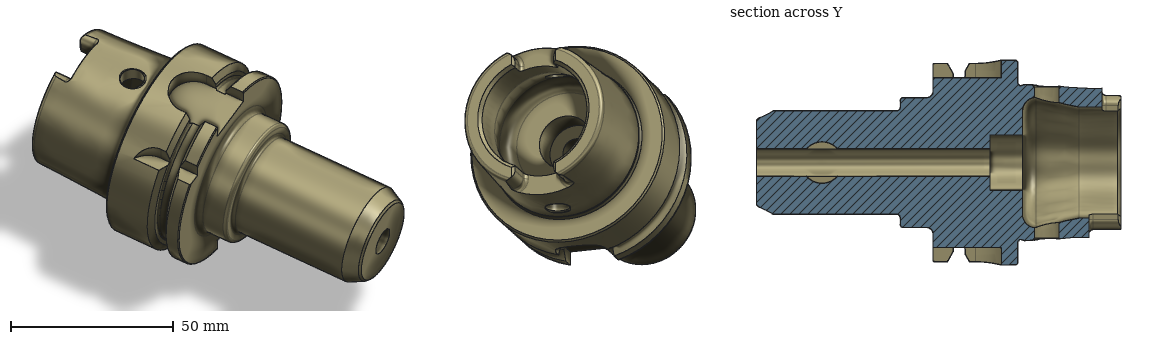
import cadquery as cq
import math

overall_length = 112.0

taper_nose_fillet = 1.1
taper_end_x = 29.7
taper_end_radius = 48.0 / 2
taper_slope = 1 / 20
taper_nose_radius = taper_end_radius - taper_slope * taper_end_x

relief_front_x = 30.7
relief_rear_x = 31.1
relief_depth = 0.3

flange_front_x = 31.7
flange_rear_x = 57.8
flange_radius = 63.0 / 2
flange_front_chamfer = 0.6
flange_rear_chamfer = 0.3

groove_front_x = 47.9
groove_rear_x = 51.5
groove_root_radius = 27.1
groove_front_flank = 1.3
groove_rear_flank = 1.8
groove_root_fillet = 0.7
flank_rise = math.tan(math.radians(60))

boss_radius = 40.0 / 2
boss_end_x = 67.9
boss_root_fillet = 1.9
boss_edge_fillet = 1.0
shank_radius = 31.9 / 2
shank_root_fillet = 1.0
shank_taper_x = 106.7
shank_bevel_radius = 13.7
shank_end_radius = 13.0
shank_bevel_length = 0.7

mouth_radius = 36.2 / 2
cavity_radius = 34.0 / 2
mouth_chamfer = mouth_radius - cavity_radius
undercut_start_x = 12.9
undercut_radius = 40.0 / 2
cavity_floor_x = 30.2
floor_radius = 31.7 / 2
counterbore_radius = 16.9 / 2
counterbore_depth = 10.0
bore_radius = 8.4 / 2

drive_slot_width = 12.5
drive_slot_top_depth = 5.8
drive_slot_bottom_depth = 9.9
drive_slot_corner_fillet = 1.2
drive_slot_rim_fillet = 3.1
drive_slot_rim_z = 20.6
drive_slot_mouth_chamfer = 0.9
cutter_overrun = 1.1

access_hole_x = 22.8
access_hole_radius = 7.5 / 2
access_sink_radius = 8.5 / 2

keyway_radius = 7.8
keyway_center_x = 44.7
keyway_floor = 26.1
notch_wall = 19.9

screw_hole_x = 91.8
screw_hole_radius = 12.7 / 2


def revolve_about_x(profile):
    return profile.close().revolve(360, (0, 0, 0), (1, 0, 0))


def taper_radius_at(x):
    return taper_nose_radius + taper_slope * x


def outer_body():
    groove_front_radius = flange_radius - groove_front_flank * flank_rise
    groove_rear_radius = flange_radius - groove_rear_flank * flank_rise
    profile = (
        cq.Workplane("XY")
        .lineTo(0, taper_nose_radius - taper_nose_fillet)
        .radiusArc((taper_nose_fillet, taper_radius_at(taper_nose_fillet)), taper_nose_fillet)
        .lineTo(taper_end_x, taper_end_radius)
        .lineTo(relief_front_x, taper_end_radius - relief_depth)
        .lineTo(relief_rear_x, taper_end_radius - relief_depth)
        .lineTo(flange_front_x, taper_end_radius + relief_depth)
        .lineTo(flange_front_x, flange_radius - flange_front_chamfer)
        .lineTo(flange_front_x + flange_front_chamfer, flange_radius)
        .lineTo(groove_front_x - groove_front_flank, flange_radius)
        .lineTo(groove_front_x, groove_front_radius)
        .lineTo(groove_front_x, groove_root_radius + groove_root_fillet)
        .radiusArc((groove_front_x + groove_root_fillet, groove_root_radius), -groove_root_fillet)
        .lineTo(groove_rear_x, groove_root_radius)
        .lineTo(groove_rear_x, groove_rear_radius)
        .lineTo(groove_rear_x + groove_rear_flank, flange_radius)
        .lineTo(flange_rear_x - flange_rear_chamfer, flange_radius)
        .lineTo(flange_rear_x, flange_radius - flange_rear_chamfer)
        .lineTo(flange_rear_x, boss_radius + boss_root_fillet)
        .radiusArc((flange_rear_x + boss_root_fillet, boss_radius), -boss_root_fillet)
        .lineTo(boss_end_x - boss_edge_fillet, boss_radius)
        .radiusArc((boss_end_x, boss_radius - boss_edge_fillet), boss_edge_fillet)
        .lineTo(boss_end_x, shank_radius + shank_root_fillet)
        .radiusArc((boss_end_x + shank_root_fillet, shank_radius), -shank_root_fillet)
        .lineTo(shank_taper_x, shank_radius)
        .lineTo(overall_length - shank_bevel_length, shank_bevel_radius)
        .lineTo(overall_length, shank_end_radius)
        .lineTo(overall_length, 0)
    )
    return revolve_about_x(profile)


def cavity():
    floor_fillet = undercut_radius - floor_radius
    counterbore_x = cavity_floor_x + counterbore_depth
    profile = (
        cq.Workplane("XY")
        .lineTo(0, mouth_radius)
        .lineTo(mouth_chamfer, cavity_radius)
        .lineTo(undercut_start_x, cavity_radius)
        .lineTo(cavity_floor_x - floor_fillet, undercut_radius)
        .radiusArc((cavity_floor_x, floor_radius), floor_fillet)
        .lineTo(cavity_floor_x, counterbore_radius)
        .lineTo(counterbore_x, counterbore_radius)
        .lineTo(counterbore_x, bore_radius)
        .lineTo(overall_length, bore_radius)
        .lineTo(overall_length, 0)
    )
    return revolve_about_x(profile)


def drive_slot(depth):
    """Slot cutter on the +Z side: its walls flare out into the rim and round into the floor."""
    half_width = drive_slot_width / 2
    flare_end_y = half_width + drive_slot_rim_fillet
    flare_start_z = drive_slot_rim_z - drive_slot_rim_fillet
    slot = (
        cq.Workplane("YZ", origin=(-cutter_overrun, 0, 0))
        .moveTo(-half_width, 0)
        .lineTo(half_width, 0)
        .lineTo(half_width, flare_start_z)
        .radiusArc((flare_end_y, drive_slot_rim_z), drive_slot_rim_fillet)
        .lineTo(flange_radius, drive_slot_rim_z)
        .lineTo(0, 2 * flange_radius)
        .lineTo(-flange_radius, drive_slot_rim_z)
        .lineTo(-flare_end_y, drive_slot_rim_z)
        .radiusArc((-half_width, flare_start_z), drive_slot_rim_fillet)
        .close()
        .extrude(depth + cutter_overrun)
        .faces(">X")
        .edges("|Z")
        .fillet(drive_slot_corner_fillet)
    )
    mouth_half_width = half_width + drive_slot_mouth_chamfer + cutter_overrun
    mouth = (
        cq.Workplane("XY")
        .moveTo(-cutter_overrun, -mouth_half_width)
        .lineTo(-cutter_overrun, mouth_half_width)
        .lineTo(drive_slot_mouth_chamfer, half_width)
        .lineTo(drive_slot_mouth_chamfer, -half_width)
        .close()
        .extrude(flange_radius)
    )
    return slot.union(mouth)


def access_hole():
    """Countersunk hole running through both walls of the taper."""
    sink_edge_z = taper_radius_at(access_hole_x)
    sink_depth = access_sink_radius - access_hole_radius
    hole = cq.Workplane("XY", origin=(access_hole_x, 0, -flange_radius)).circle(access_hole_radius)
    cutter = hole.extrude(2 * flange_radius)
    for side in (1, -1):
        sink = cq.Solid.makeCone(
            access_hole_radius,
            access_sink_radius,
            sink_depth,
            pnt=cq.Vector(access_hole_x, 0, side * (sink_edge_z - sink_depth)),
            dir=cq.Vector(0, 0, side),
        )
        cutter = cutter.union(cq.Workplane(sink))
    return cutter


def keyway(center_y, floor_z):
    """Round-ended slot cutter, open toward the rear of the flange and above floor_z."""
    length = flange_rear_x - keyway_center_x
    end = cq.Workplane("XY", origin=(keyway_center_x, center_y, floor_z)).circle(keyway_radius)
    run = cq.Workplane("XY", origin=(keyway_center_x + length / 2, center_y, floor_z))
    return end.extrude(flange_radius).union(run.rect(length, 2 * keyway_radius).extrude(flange_radius))


def screw_hole():
    """Hole from the +Y side of the nose to its axis."""
    hole = cq.Workplane("XZ", origin=(screw_hole_x, 0, 0)).circle(screw_hole_radius)
    return hole.extrude(-flange_radius)


def turned_below(cutter):
    """Turn a cutter from the +Z side to the -Z side."""
    return cutter.rotate((0, 0, 0), (1, 0, 0), 180)


result = (
    outer_body()
    .cut(cavity())
    .cut(drive_slot(drive_slot_top_depth))
    .cut(turned_below(drive_slot(drive_slot_bottom_depth)))
    .cut(access_hole())
    .cut(keyway(0, keyway_floor))
    .cut(turned_below(keyway(0, keyway_floor)))
    .cut(keyway(-notch_wall - keyway_radius, notch_wall))
    .cut(screw_hole())
)